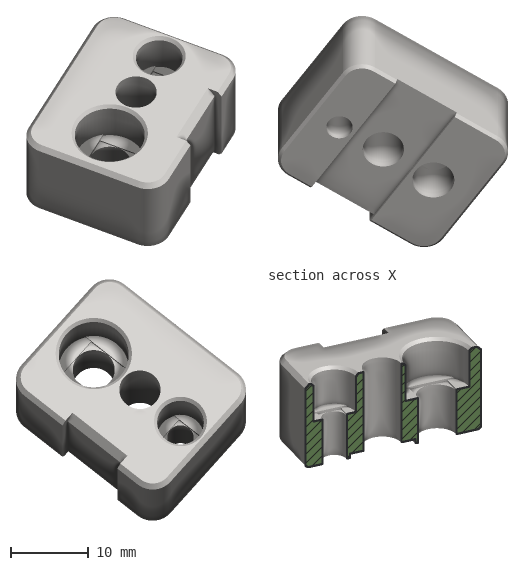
import cadquery as cq

width = 20.0
length = 25.0
height = 12.2
corner_radius = 3.0
top_chamfer = 0.6
bottom_chamfer = 0.4

bore_depth = 5.4
bore_chamfer = 0.4
bridge_step = 0.2
small_bore_diameter = 6.0
small_hole_diameter = 3.4
small_hole_y = 8.3
large_bore_diameter = 9.0
large_hole_diameter = 5.4
large_hole_y = -6.25

middle_hole_diameter = 5.3
middle_hole_y = 1.5

channel_width = 9.2
channel_y = middle_hole_y
underside_depth = 0.6
side_depth = 1.0
mouth_chamfer = 1.0


def make_block():
    block = cq.Workplane("XY").box(width, length, height, centered=(True, True, False))
    block = block.edges("|Z").fillet(corner_radius)
    block = block.faces(">Z").chamfer(top_chamfer)
    return block.faces("<Z").chamfer(bottom_chamfer)


def make_cylinder(diameter, y, bottom, top):
    return cq.Workplane("XY", origin=(0, y, bottom)).circle(diameter / 2).extrude(top - bottom)


def make_stepped_hole(bore_diameter, hole_diameter, y):
    """Bore whose floor narrows in two steps, first to a slot and then to a square."""
    floor = height - bore_depth
    bore = make_cylinder(bore_diameter, y, floor, height)
    countersink = (
        cq.Workplane("XY", origin=(0, y, height))
        .circle(bore_diameter / 2 + bore_chamfer)
        .workplane(offset=-bore_chamfer)
        .circle(bore_diameter / 2)
        .loft()
    )
    slot = (
        cq.Workplane("XY", origin=(0, y, floor - bridge_step))
        .rect(hole_diameter, bore_diameter)
        .extrude(bridge_step)
        .intersect(make_cylinder(bore_diameter, y, floor - bridge_step, floor))
    )
    square = (
        cq.Workplane("XY", origin=(0, y, floor - 2 * bridge_step))
        .rect(hole_diameter, hole_diameter)
        .extrude(bridge_step)
    )
    hole = make_cylinder(hole_diameter, y, 0, floor)
    return bore.union(countersink).union(slot).union(square).union(hole)


def make_strap_channel():
    """Channel profile in the XZ plane, flared at 45 degrees at the top of the side."""
    wall_x = width / 2 - side_depth
    mouth_x = wall_x - mouth_chamfer
    profile = [
        (-width / 2, 0),
        (-width / 2, underside_depth),
        (wall_x, underside_depth),
        (wall_x, height - mouth_chamfer),
        (mouth_x, height),
        (width / 2, height),
        (width / 2, 0),
    ]
    return (
        cq.Workplane("XZ", origin=(0, channel_y, 0))
        .polyline(profile)
        .close()
        .extrude(channel_width / 2, both=True)
    )


result = (
    make_block()
    .cut(make_stepped_hole(small_bore_diameter, small_hole_diameter, small_hole_y))
    .cut(make_stepped_hole(large_bore_diameter, large_hole_diameter, large_hole_y))
    .cut(make_cylinder(middle_hole_diameter, middle_hole_y, 0, height))
    .cut(make_strap_channel())
)